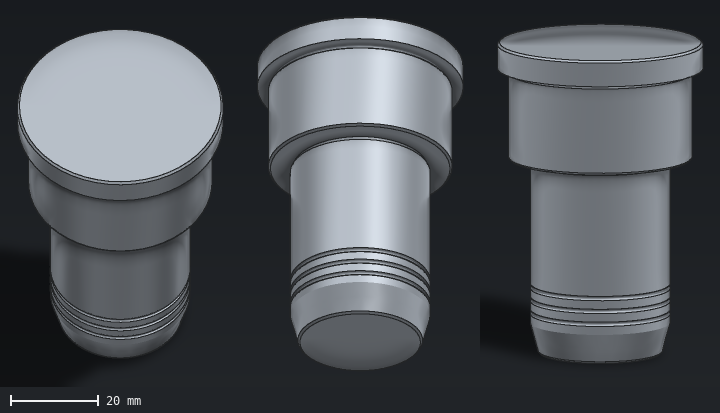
import cadquery as cq
import math

height = 72.0
flange_thickness = 6.0
shoulder_bottom = 45.0

flange_radius = 47.0 / 2
shoulder_radius = 42.0 / 2
shank_radius = 32.0 / 2

edge = 0.5
relief_width = 2 * edge

taper_top = 7.0
taper_angle = 15.0
taper_radius = shank_radius - (taper_top - edge) * math.tan(math.radians(taper_angle))

groove_count = 3
lowest_groove = 9.5
highest_groove = 15.5
groove_pitch = (highest_groove - lowest_groove) / (groove_count - 1)

flange_bottom = height - flange_thickness
relief_center = flange_bottom - edge


def make_groove(radius, center_z):
    """Ring with a half-round section."""
    return (
        cq.Workplane("XZ")
        .moveTo(radius, center_z - edge)
        .threePointArc((radius - edge, center_z), (radius, center_z + edge))
        .close()
        .revolve(360, (0, 0, 0), (0, 1, 0))
    )


profile = [
    (0, 0),
    (taper_radius - edge, 0),
    (taper_radius, edge),
    (shank_radius, taper_top),
    (shank_radius, shoulder_bottom - relief_width),
    (shank_radius - edge, shoulder_bottom - relief_width),
    (shank_radius - edge, shoulder_bottom),
    (shoulder_radius - edge, shoulder_bottom),
    (shoulder_radius, shoulder_bottom + edge),
    (shoulder_radius, flange_bottom),
    (flange_radius, flange_bottom),
    (flange_radius, height - edge),
    (flange_radius - edge, height),
    (0, height),
]
result = cq.Workplane("XZ").polyline(profile).close().revolve(360, (0, 0, 0), (0, 1, 0))

result = result.cut(make_groove(shoulder_radius, relief_center))

for index in range(groove_count):
    result = result.cut(make_groove(shank_radius, lowest_groove + index * groove_pitch))